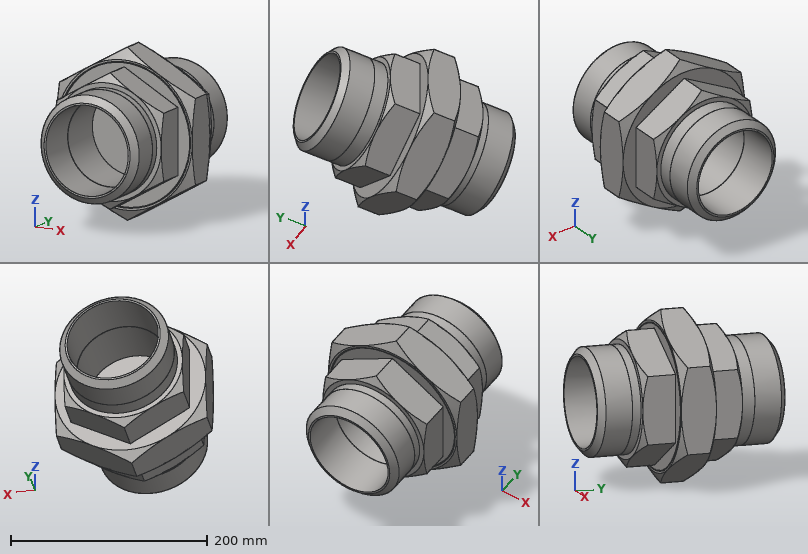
import cadquery as cq
import math

HALF_LENGTH = 102.0

THREAD_DIAMETER = 113.3
NECK_DIAMETER = 113.1
THREAD_LENGTH = 35.5
END_FACE_DIAMETER = 99.0
END_CHAMFER_LENGTH = 6.5

BODY_ACROSS_FLATS = 123.5
NUT_ACROSS_FLATS = 157.0
HEX_CHAMFER_ANGLE = 30.0
BODY_FRONT = -57.3
BODY_BACK = 51.2
NUT_FRONT = -21.6
NUT_BACK = 16.5

CLEARANCE_OUTER_DIAMETER = 152.5
CLEARANCE_INNER_DIAMETER = 151.0
CLEARANCE_DEPTH = 2.0

BORE_DIAMETER = 95.0
BORE_DEPTH = 46.9
INNER_BORE_DIAMETER = 94.4
WALL_THICKNESS = 4.0
WALL_HOLE_DIAMETER = 4.0


def revolve_about_y(points):
    """Turn a closed (radius, station) outline about the Y axis."""
    return cq.Workplane("XY").polyline(points).close().revolve(360, (0, 0, 0), (0, 1, 0))


def cylinder(diameter, start, end):
    """Cylinder along Y from the start station to the end station."""
    radius = diameter / 2
    return revolve_about_y([(0, start), (radius, start), (radius, end), (0, end)])


def chamfered_hexagon(across_flats, start, end):
    """Hexagonal prism along Y whose corners are turned down to a cone at both ends."""
    flat_radius = across_flats / 2
    corner_radius = flat_radius / math.cos(math.radians(30))
    chamfer = (corner_radius - flat_radius) * math.tan(math.radians(HEX_CHAMFER_ANGLE))
    prism = (
        cq.Workplane("XZ", origin=(0, start, 0))
        .transformed(rotate=(0, 0, 90))
        .polygon(6, 2 * corner_radius)
        .extrude(start - end)
    )
    cone_ended_blank = revolve_about_y([
        (0, start),
        (flat_radius, start),
        (corner_radius, start + chamfer),
        (corner_radius, end - chamfer),
        (flat_radius, end),
        (0, end),
    ])
    return prism.intersect(cone_ended_blank)


def pipe_blank():
    """Solid pipe with a chamfered thread at each end and a slightly thinner neck between."""
    thread_radius = THREAD_DIAMETER / 2
    neck_radius = NECK_DIAMETER / 2
    end_face_radius = END_FACE_DIAMETER / 2
    chamfer_station = HALF_LENGTH - END_CHAMFER_LENGTH
    thread_station = HALF_LENGTH - THREAD_LENGTH
    return revolve_about_y([
        (0, -HALF_LENGTH),
        (end_face_radius, -HALF_LENGTH),
        (thread_radius, -chamfer_station),
        (thread_radius, -thread_station),
        (neck_radius, -thread_station),
        (neck_radius, thread_station),
        (thread_radius, thread_station),
        (thread_radius, chamfer_station),
        (end_face_radius, HALF_LENGTH),
        (0, HALF_LENGTH),
    ])


def clearance_ring():
    """Narrow ring-shaped groove in the front face of the nut."""
    bottom = NUT_FRONT + CLEARANCE_DEPTH
    outer = cylinder(CLEARANCE_OUTER_DIAMETER, NUT_FRONT, bottom)
    return outer.cut(cylinder(CLEARANCE_INNER_DIAMETER, NUT_FRONT, bottom))


def bores():
    """Everything bored out: a stepped bore from each end and the hole through the wall."""
    step_station = HALF_LENGTH - BORE_DEPTH
    wall_face = WALL_THICKNESS / 2
    space = cylinder(WALL_HOLE_DIAMETER, -HALF_LENGTH, HALF_LENGTH)
    for side in (-1, 1):
        space = space.union(cylinder(BORE_DIAMETER, side * HALF_LENGTH, side * step_station))
        space = space.union(cylinder(INNER_BORE_DIAMETER, side * step_station, side * wall_face))
    return space


result = (
    pipe_blank()
    .union(chamfered_hexagon(BODY_ACROSS_FLATS, BODY_FRONT, BODY_BACK))
    .union(chamfered_hexagon(NUT_ACROSS_FLATS, NUT_FRONT, NUT_BACK))
    .cut(clearance_ring())
    .cut(bores())
)